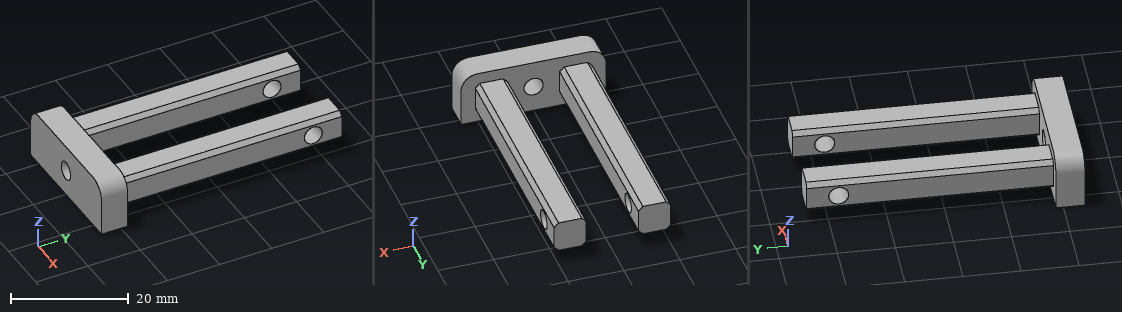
import cadquery as cq

plate_width = 26.0
plate_thickness = 5.05
plate_height = 10.0
corner_radius = 3.0

total_length = 47.5
arm_size = 5.8
arm_chamfer = 0.8
arm_spacing = 15.1
arm_length = total_length - plate_thickness

hole_diameter = 3.4
cross_hole_from_tip = 5.5

mid_height = plate_height / 2


def make_plate():
    """Upright plate with its two top corners rounded and a central hole."""
    plate = cq.Workplane("XY").box(
        plate_width, plate_thickness, plate_height, centered=(True, False, False)
    )
    plate = plate.edges("|Y and >Z").fillet(corner_radius)
    return plate.faces("<Y").workplane(centerOption="CenterOfBoundBox").hole(hole_diameter)


def make_arm(x_center):
    """Square bar with chamfered long edges, reaching from the plate to the tip."""
    arm = cq.Workplane("XY").box(arm_size, arm_length, arm_size, centered=(True, False, True))
    arm = arm.edges("|Y").chamfer(arm_chamfer)
    return arm.translate((x_center, plate_thickness, mid_height))


def make_cross_hole():
    """Cylinder along X that pierces both arms near their tips."""
    return (
        cq.Workplane("YZ")
        .center(total_length - cross_hole_from_tip, mid_height)
        .circle(hole_diameter / 2)
        .extrude(plate_width / 2, both=True)
    )


result = make_plate()
for side in (-1, 1):
    result = result.union(make_arm(side * arm_spacing / 2))
result = result.cut(make_cross_hole())